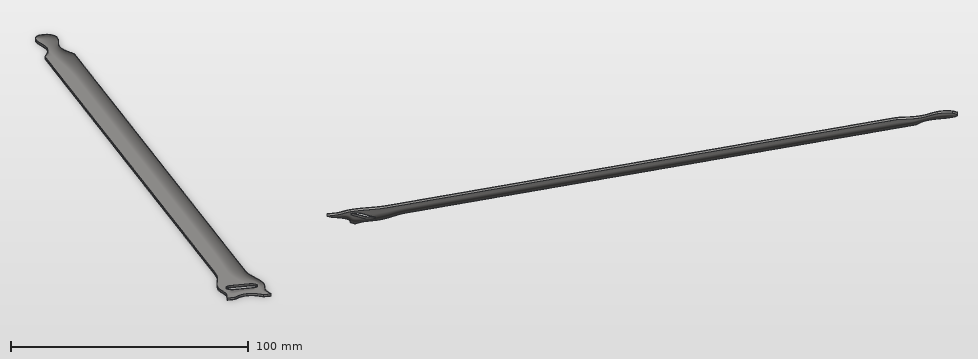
import cadquery as cq

length = 330.0
thickness = 1.0
strap_width = 13.0
strap_half_width = strap_width / 2

tip_half_width = 4.5
tip_flat_half_width = 1.5
tip_widest_x = 5.5
tip_round_x = 1.3
tip_round_half_width = 3.3
neck_x = 16.0
neck_half_width = 2.8
strap_start_x = 26.0

strap_end_x = length - 30.0
head_half_width = 10.0
head_widest_x = length - 13.0
waist_x = length - 4.5
waist_half_width = 8.5
horn_outer_half_width = 9.5
horn_inner_half_width = 6.3
end_notch_depth = 3.0

slot_x = length - 12.0
slot_length = 13.5
slot_width = 5.0


def make_strap():
    """Extrude the upper half of the outline and mirror it about the centreline."""
    neck = (neck_x, neck_half_width)
    widest_tip = (tip_widest_x, tip_half_width)
    widest_head = (head_widest_x, head_half_width)
    waist = (waist_x, waist_half_width)
    along = (1, 0)
    flare = (1, 0.5)
    notch_entry = (-1, -1.3)
    across = (0, -1)
    half = (
        cq.Workplane("XY")
        .moveTo(0, 0)
        .lineTo(0, tip_flat_half_width)
        .threePointArc((tip_round_x, tip_round_half_width), widest_tip)
        .spline([neck], tangents=[along, along], includeCurrent=True)
        .spline([(strap_start_x, strap_half_width)], tangents=[along, flare], includeCurrent=True)
        .lineTo(strap_end_x, strap_half_width)
        .spline([widest_head], tangents=[along, along], includeCurrent=True)
        .spline([waist], tangents=[along, along], includeCurrent=True)
        .lineTo(length, horn_outer_half_width)
        .lineTo(length, horn_inner_half_width)
        .spline([(length - end_notch_depth, 0)], tangents=[notch_entry, across], includeCurrent=True)
        .close()
        .extrude(thickness)
    )
    return half.union(half.mirror("XZ")).clean()


def make_slot():
    """Round-ended through slot, lying across the strap."""
    return (
        cq.Workplane("XY")
        .center(slot_x, 0)
        .slot2D(slot_length, slot_width, 90)
        .extrude(thickness)
    )


strap = make_strap().cut(make_slot())
result = strap.translate((-length / 2, 0, -thickness / 2))